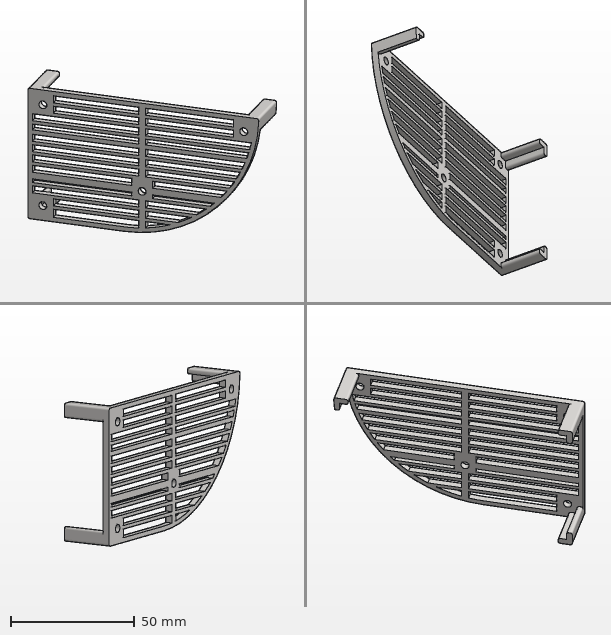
import cadquery as cq
import math

length = 99.66
height = 57.0
plate_thickness = 3.0
total_depth = 21.45
corner_radius = 1.0

arc_radius = 58.0
arc_center_z = arc_radius
arc_rise_at_corner = height - corner_radius - arc_center_z
arc_center_x = length - math.sqrt(arc_radius**2 - arc_rise_at_corner**2)

border = 2.0
slot_height = 3.0
slot_pitch = 4.5
slot_count = 12
spine_x = 49.3
spine_width = 3.0

hole_diameter = 3.3
hole_inset = 6.5
hub_hole_z = 18.5

corner_pad = 11.0
hub_width = 9.0
hub_first_row = 7
hub_last_row = 8
bar_height = 2.0
upper_bar_bottom = 37.0
lower_bar_bottom = hub_hole_z - bar_height / 2

leg_size = 6.0
leg_arm = 2.5
leg_rounding = 1.0


def box(x_min, x_max, z_min, z_max, depth):
    """Block from the front face back to the given depth."""
    block = cq.Workplane("XY").box(x_max - x_min, depth, z_max - z_min, centered=False)
    return block.translate((x_min, 0, z_min))


def outline(inset, depth):
    """Plate outline moved inward by inset, with sharp corners."""
    radius = arc_radius - inset
    top = height - inset
    right = arc_center_x + math.sqrt(radius**2 - (top - arc_center_z) ** 2)
    end_angle = math.asin((arc_center_z - top) / radius)
    middle_angle = (math.pi / 2 + end_angle) / 2
    middle = (
        arc_center_x + radius * math.cos(middle_angle),
        arc_center_z - radius * math.sin(middle_angle),
    )
    return (
        cq.Workplane("XZ")
        .moveTo(inset, inset)
        .lineTo(arc_center_x, inset)
        .threePointArc(middle, (right, top))
        .lineTo(inset, top)
        .close()
        .extrude(-depth)
    )


def rounded_outline(depth):
    """Plate outline with its three corners rounded."""
    corners = outline(0, depth).edges("|Y").edges("<X or >X")
    return corners.fillet(corner_radius)


def leg(at_right, at_top):
    """Angle-section leg in a plate corner, with rounded outer edge and arm tips."""
    post = box(0, leg_size, 0, leg_size, total_depth)
    hollow = box(leg_arm, leg_size, leg_arm, leg_size, total_depth)
    profile = post.cut(hollow)
    tips = profile.edges("|Y").edges(">X or >Z or (<X and <Z)")
    profile = tips.fillet(leg_rounding)
    if at_right:
        profile = profile.mirror("YZ").translate((length, 0, 0))
    if at_top:
        profile = profile.mirror("XY").translate((0, 0, height))
    return profile


def slot_top(row):
    """Upper edge of a slot row, counted from the top of the plate."""
    return height - border - row * slot_pitch


def solid_areas():
    """Spine, hub, cross bars and screw pads as (x_min, x_max, z_min, z_max)."""
    half_spine = spine_width / 2
    half_hub = hub_width / 2
    hub_bottom = slot_top(hub_last_row) - slot_height
    return [
        (spine_x - half_spine, spine_x + half_spine, 0, height),
        (spine_x - half_hub, spine_x + half_hub, hub_bottom, slot_top(hub_first_row)),
        (0, length, upper_bar_bottom, upper_bar_bottom + bar_height),
        (0, length, lower_bar_bottom, lower_bar_bottom + bar_height),
        (0, corner_pad, 0, corner_pad),
        (0, corner_pad, height - corner_pad, height),
        (length - corner_pad, length, height - corner_pad, height),
    ]


def slots():
    """Evenly spaced slots, trimmed by the frame and the solid areas."""
    rows = cq.Workplane("XY")
    for row in range(slot_count):
        bottom = border if row == slot_count - 1 else slot_top(row) - slot_height
        rows = rows.add(box(0, length, bottom, slot_top(row), plate_thickness))
    openings = rows.combine().intersect(outline(border, plate_thickness))
    for area in solid_areas():
        openings = openings.cut(box(*area, plate_thickness))
    return openings


def screw_holes():
    """Three corner holes and the hub hole, through the plate."""
    centers = [
        (hole_inset, hole_inset),
        (hole_inset, height - hole_inset),
        (length - hole_inset, height - hole_inset),
        (spine_x, hub_hole_z),
    ]
    return cq.Workplane("XZ").pushPoints(centers).circle(hole_diameter / 2).extrude(-plate_thickness)


def legs():
    """Legs in the three corners, kept within the rounded plate outline."""
    lower_left = leg(at_right=False, at_top=False)
    upper_left = leg(at_right=False, at_top=True)
    upper_right = leg(at_right=True, at_top=True)
    return lower_left.add(upper_left).add(upper_right).combine().intersect(rounded_outline(total_depth))


plate = rounded_outline(plate_thickness).cut(slots()).cut(screw_holes())
result = plate.union(legs())